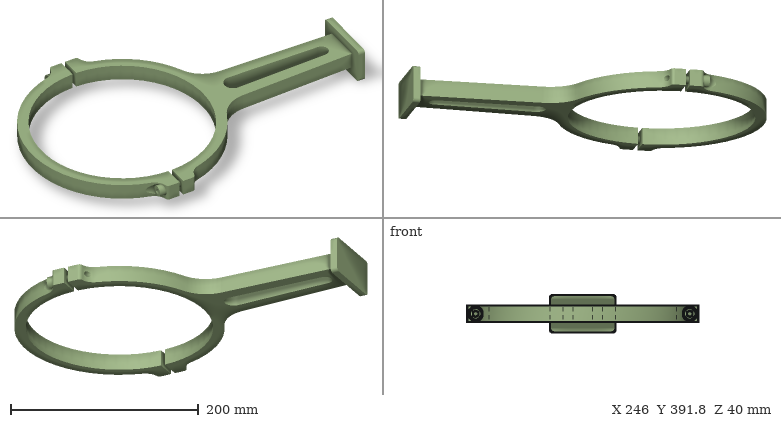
import cadquery as cq
import math

length = 391.8
width = 246.0
height = 18.0

ring_outer_radius = 112.0
ring_inner_radius = 100.0
gap = 4.7

ear_side_end = 14.0
ear_corner_radius = 4.0
ear_blend_radius = 15.5

plate_width = 70.0
plate_height = 40.0
plate_thickness = 8.0
plate_corner_radius = 4.0

arm_end_width = 41.5
arm_root_width = 49.5
arm_root_y = 136.5
arm_blend_radius = 37.5
slot_end_radius = 8.0
slot_root_radius = 10.0
slot_end_y = 254.5
slot_root_y = 127.0

screw_x = 114.0
screw_radius = 4.0
screw_tip_y = 17.0
pilot_radius = 3.0
head_radius = 6.3
head_seat_y = -16.5
head_end_y = -24.5
socket_sides = 6
socket_width = 6.0
socket_depth = 4.0
counterbore_radius = 7.5

plate_back_y = length - ring_outer_radius
arm_end_y = plate_back_y - plate_thickness
half_width = width / 2
pilot_end_y = 2 * ear_side_end
counterbore_end_y = -ring_outer_radius / 2


def on_line(start, end, reach):
    """Point on the line from start to end, at the distance reach from start."""
    distance = math.dist(start, end)
    return tuple(a + (b - a) * reach / distance for a, b in zip(start, end))


def cylinder_along_y(radius, x, y_start, y_end):
    """Cylinder from y_start to y_end, centred on the mid-plane of the ring."""
    return cq.Workplane("XZ", origin=(x, y_start, 0)).circle(radius).extrude(y_start - y_end)


def ear(side):
    """Plate of one ear in the +Y half, blended into the outside of the ring."""
    corner = (half_width - ear_corner_radius, ear_side_end)
    corner_reach = ear_corner_radius + ear_blend_radius
    ring_reach = ring_outer_radius + ear_blend_radius
    corner_distance = math.hypot(*corner)
    spread = math.acos(
        (corner_distance**2 + ring_reach**2 - corner_reach**2) / (2 * corner_distance * ring_reach)
    )
    blend_angle = math.atan2(corner[1], corner[0]) + spread
    blend = (ring_reach * math.cos(blend_angle), ring_reach * math.sin(blend_angle))

    corner_end = on_line(corner, blend, ear_corner_radius)
    corner_angle = math.atan2(corner_end[1] - corner[1], corner_end[0] - corner[0]) / 2
    corner_middle = (
        corner[0] + ear_corner_radius * math.cos(corner_angle),
        corner[1] + ear_corner_radius * math.sin(corner_angle),
    )
    ring_touch = on_line((0, 0), blend, ring_outer_radius)
    chord_middle = tuple((a + b) / 2 for a, b in zip(corner_end, ring_touch))
    blend_middle = on_line(blend, chord_middle, ear_blend_radius)

    outline = (
        cq.Workplane("XY", origin=(0, 0, -height / 2))
        .moveTo(ring_inner_radius, 0)
        .lineTo(half_width, 0)
        .lineTo(half_width, ear_side_end)
        .threePointArc(corner_middle, corner_end)
        .threePointArc(blend_middle, ring_touch)
        .close()
    )
    solid = outline.extrude(height)
    return solid if side > 0 else solid.mirror("YZ")


def ring_blank():
    """Solid disc with the two ears of its +Y half, not yet bored or split."""
    disc = cq.Workplane("XY").circle(ring_outer_radius).extrude(height / 2, both=True)
    for side in (-1, 1):
        disc = disc.union(ear(side))
    return disc


def bored_half(body):
    """Bore the ring and keep only the part on the +Y side of the gap."""
    bore = cq.Workplane("XY").circle(ring_inner_radius).extrude(height / 2, both=True)
    behind_gap = cq.Workplane("XY").box(2 * width, 2 * length, 2 * height).translate((0, gap / 2 - length, 0))
    return body.cut(bore).cut(behind_gap)


def arm():
    """Tapered arm, carried at the same taper into the ring."""
    taper = (arm_root_width - arm_end_width) / (arm_end_y - arm_root_y)
    foot_y = ring_inner_radius
    foot_width = arm_root_width + taper * (arm_root_y - foot_y)
    return (
        cq.Workplane("XY", origin=(0, 0, -height / 2))
        .moveTo(-arm_end_width / 2, arm_end_y)
        .lineTo(arm_end_width / 2, arm_end_y)
        .lineTo(foot_width / 2, foot_y)
        .lineTo(-foot_width / 2, foot_y)
        .close()
        .extrude(height)
    )


def arm_slot():
    """Slot with round ends, wider towards the ring."""
    end_center_y = slot_end_y - slot_end_radius
    root_center_y = slot_root_y + slot_root_radius
    lean = math.asin((slot_root_radius - slot_end_radius) / (end_center_y - root_center_y))
    end_x = slot_end_radius * math.cos(lean)
    end_y = end_center_y + slot_end_radius * math.sin(lean)
    root_x = slot_root_radius * math.cos(lean)
    root_y = root_center_y + slot_root_radius * math.sin(lean)
    return (
        cq.Workplane("XY", origin=(0, 0, -height / 2))
        .moveTo(-end_x, end_y)
        .threePointArc((0, slot_end_y), (end_x, end_y))
        .lineTo(root_x, root_y)
        .threePointArc((0, slot_root_y), (-root_x, root_y))
        .close()
        .extrude(height)
    )


def bracket_half():
    """Half ring that carries the arm and takes the screw tips.

    A narrower pilot hole runs on through each ear.
    """
    body = ring_blank().union(arm())
    blend_zone = cq.selectors.BoxSelector(
        (-arm_root_width, ring_inner_radius, -height), (arm_root_width, arm_root_y, height)
    )
    body = body.edges("|Z").edges(blend_zone).fillet(arm_blend_radius)
    body = bored_half(body).cut(arm_slot())
    for side in (-1, 1):
        body = body.cut(cylinder_along_y(screw_radius, side * screw_x, 0, screw_tip_y))
        body = body.cut(cylinder_along_y(pilot_radius, side * screw_x, screw_tip_y, pilot_end_y))
    return body


def cap_half():
    """Plain half ring with the screw holes and the counterbores for the heads."""
    body = bored_half(ring_blank()).mirror("XZ")
    for side in (-1, 1):
        body = body.cut(cylinder_along_y(screw_radius, side * screw_x, head_seat_y, 0))
        body = body.cut(cylinder_along_y(counterbore_radius, side * screw_x, counterbore_end_y, head_seat_y))
    return body


def plate():
    """Rectangular end plate with rounded corners."""
    return (
        cq.Workplane("XY")
        .box(plate_width, plate_thickness, plate_height)
        .edges("|Y")
        .fillet(plate_corner_radius)
        .translate((0, plate_back_y - plate_thickness / 2, 0))
    )


def screw(x):
    """Socket head screw with its head towards -Y."""
    shank = cylinder_along_y(screw_radius, x, head_seat_y, screw_tip_y)
    head = cylinder_along_y(head_radius, x, head_end_y, head_seat_y)
    socket = (
        cq.Workplane("XZ", origin=(x, head_end_y, 0))
        .polygon(socket_sides, socket_width, circumscribed=True)
        .extrude(-socket_depth)
    )
    return shank.union(head).cut(socket)


screws = [screw(side * screw_x) for side in (-1, 1)]
result = cq.Compound.makeCompound(
    [bracket_half().val(), cap_half().val(), plate().val(), *[body.val() for body in screws]]
)